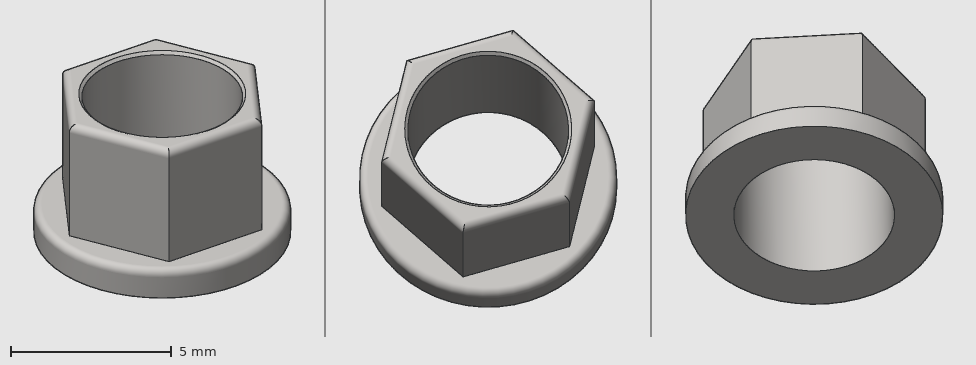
import cadquery as cq
import math

flange_diameter = 8.0
flange_thickness = 1.0
total_height = 5.0
across_flats = 6.0
bore_diameter = 5.0
edge_radius = flange_thickness / 4
bore_chamfer = 0.1

across_corners = across_flats / math.cos(math.pi / 6)


def make_flange():
    """Round base flange with its upper rim rounded."""
    flange = cq.Workplane("XY").circle(flange_diameter / 2).extrude(flange_thickness)
    return flange.faces(">Z").edges().fillet(edge_radius)


def make_hex_body():
    """Hexagonal body, corners on the X axis, with its top edges rounded."""
    body = cq.Workplane("XY").polygon(6, across_corners).extrude(total_height)
    return body.faces(">Z").edges().fillet(edge_radius)


def cut_bore(part):
    """Through bore with a small chamfer at the top mouth."""
    bored = part.faces(">Z").workplane(origin=(0, 0, 0)).hole(bore_diameter)
    return bored.faces(">Z").edges("%CIRCLE").chamfer(bore_chamfer)


result = cut_bore(make_flange().union(make_hex_body()))